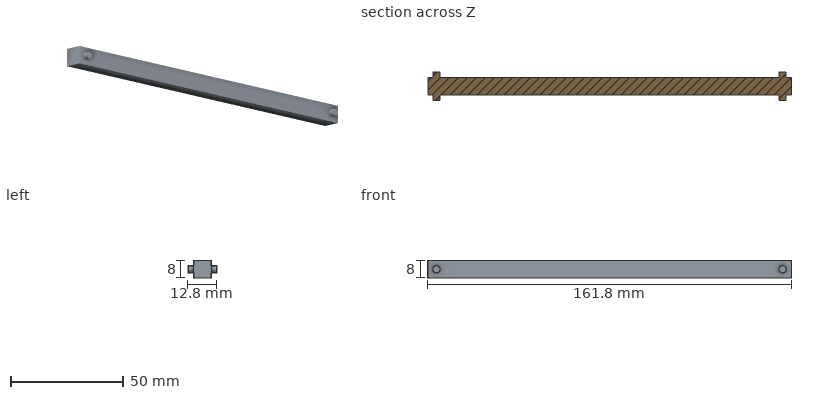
import cadquery as cq

bar_length = 161.8
bar_side = 8.0

pin_diameter = 3.2
pin_length = 12.8
pin_inset = bar_side / 2
pin_x = bar_length / 2 - pin_inset


def cross_pin(x):
    """Round pin along Y, standing out equally from both sides of the bar."""
    return (
        cq.Workplane("XZ")
        .center(x, 0)
        .circle(pin_diameter / 2)
        .extrude(pin_length / 2, both=True)
    )


result = cq.Workplane("XY").box(bar_length, bar_side, bar_side)
for x in (-pin_x, pin_x):
    result = result.union(cross_pin(x))